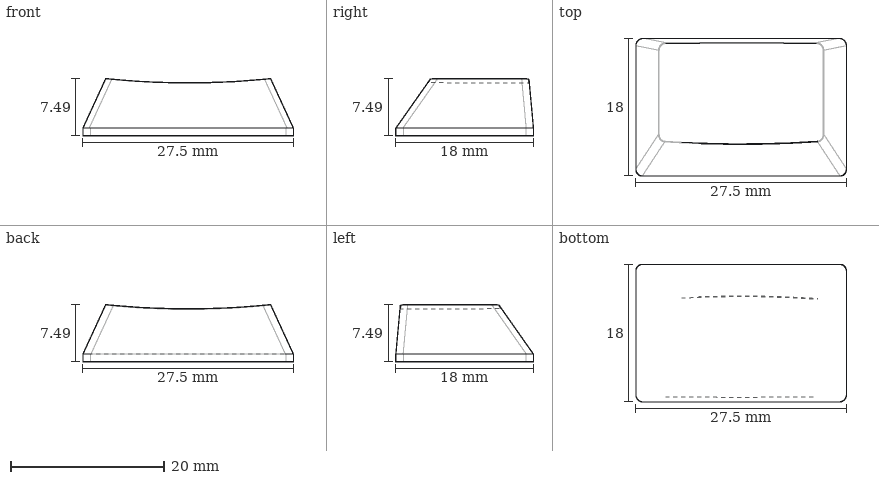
import cadquery as cq

base_length = 27.52
base_width = 18.0
skirt_height = 1.0

body_top = 7.55
side_inset = 3.02
back_inset = 0.6
front_inset = 4.6

corner_radius = 1.0

dish_floor = 6.93
dish_radius = 103.0

rim_radius = 0.1

half_length = base_length / 2
half_width = base_width / 2


def make_skirt():
    skirt = cq.Workplane("XY").rect(base_length, base_width).extrude(skirt_height)
    return skirt.edges("|Z").fillet(corner_radius)


def make_tapered_body():
    """Cross two trapezoid prisms to get four flat sloping sides, then round the slanted edges."""
    side_taper = (
        cq.Workplane("XZ")
        .moveTo(-half_length, skirt_height)
        .lineTo(half_length, skirt_height)
        .lineTo(half_length - side_inset, body_top)
        .lineTo(side_inset - half_length, body_top)
        .close()
        .extrude(half_width, both=True)
    )
    front_back_taper = (
        cq.Workplane("YZ")
        .moveTo(-half_width, skirt_height)
        .lineTo(half_width, skirt_height)
        .lineTo(half_width - back_inset, body_top)
        .lineTo(front_inset - half_width, body_top)
        .close()
        .extrude(half_length, both=True)
    )
    body = side_taper.intersect(front_back_taper)
    slanted_edges = body.edges("not(#Z)")
    return slanted_edges.fillet(corner_radius)


def make_dish_cutter():
    return (
        cq.Workplane("XZ")
        .center(0, dish_floor + dish_radius)
        .circle(dish_radius)
        .extrude(base_width, both=True)
    )


def round_rim(body):
    """Soften the edge all around the dished top face."""
    dish_face = body.faces(">Z")
    return dish_face.edges().fillet(rim_radius)


dished_body = round_rim(make_tapered_body().cut(make_dish_cutter()))
result = make_skirt().union(dished_body)